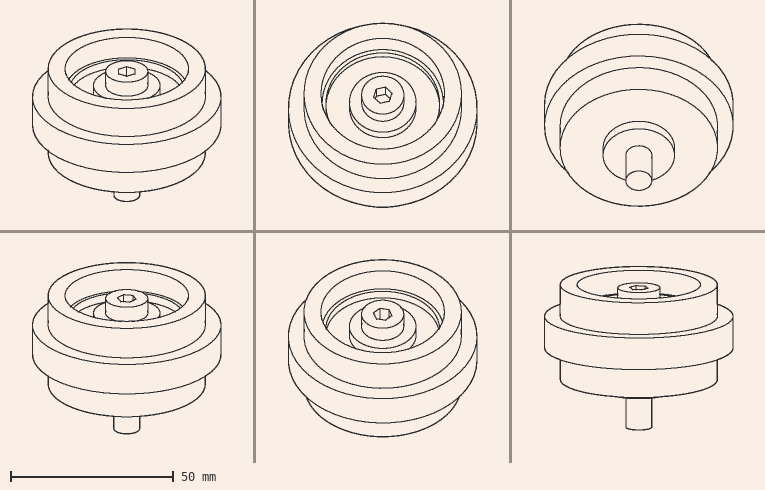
import cadquery as cq
import math

FLANGE_DIAMETER = 58.0
BODY_DIAMETER = 48.4
BAND_HEIGHT = 10.0
BODY_HEIGHT = 3 * BAND_HEIGHT

COLLAR_DIAMETER = 22.0
COLLAR_HEIGHT = 3.5
STEM_DIAMETER = 8.0
STEM_LENGTH = 11.6

RECESS_TOP_DIAMETER = 37.95
RECESS_BOTTOM_DIAMETER = 37.3
RECESS_DEPTH = 7.1
STEP_DIAMETER = 35.0
STEP_DEPTH = 2.65

WASHER_DIAMETER = 20.5
WASHER_HEIGHT = 3.75
HEAD_DIAMETER = 13.0
HEAD_HEIGHT = 5.0
SOCKET_ACROSS_FLATS = 5.0
SOCKET_DEPTH = 5.0

FLOOR_Z = BODY_HEIGHT - RECESS_DEPTH - STEP_DEPTH
HEAD_TOP_Z = FLOOR_Z + WASHER_HEIGHT + HEAD_HEIGHT


def cylinder(diameter, bottom_z, height):
    """Upright cylinder on the Z axis."""
    return cq.Workplane("XY").workplane(offset=bottom_z).circle(diameter / 2).extrude(height)


def stepped_body():
    body = cylinder(BODY_DIAMETER, 0, BODY_HEIGHT)
    flange = cylinder(FLANGE_DIAMETER, BAND_HEIGHT, BAND_HEIGHT)
    collar = cylinder(COLLAR_DIAMETER, -COLLAR_HEIGHT, COLLAR_HEIGHT)
    stem = cylinder(STEM_DIAMETER, -COLLAR_HEIGHT - STEM_LENGTH, STEM_LENGTH)
    return body.union(flange).union(collar).union(stem)


def top_recess():
    """Space cut out of the body, as half a section turned about Z."""
    ledge_z = BODY_HEIGHT - RECESS_DEPTH
    section = (
        cq.Workplane("XZ")
        .moveTo(0, FLOOR_Z)
        .lineTo(STEP_DIAMETER / 2, FLOOR_Z)
        .lineTo(STEP_DIAMETER / 2, ledge_z)
        .lineTo(RECESS_BOTTOM_DIAMETER / 2, ledge_z)
        .lineTo(RECESS_TOP_DIAMETER / 2, BODY_HEIGHT)
        .lineTo(0, BODY_HEIGHT)
        .close()
    )
    return section.revolve(360, (0, 0, 0), (0, 1, 0))


def hex_socket():
    """Hexagonal hole with corners pointing along Y."""
    corner_diameter = SOCKET_ACROSS_FLATS / math.cos(math.pi / 6)
    return (
        cq.Workplane("XY")
        .workplane(offset=HEAD_TOP_Z - SOCKET_DEPTH)
        .transformed(rotate=(0, 0, 90))
        .polygon(6, corner_diameter)
        .extrude(SOCKET_DEPTH)
    )


def washer_and_screw_head():
    washer = cylinder(WASHER_DIAMETER, FLOOR_Z, WASHER_HEIGHT)
    head = cylinder(HEAD_DIAMETER, FLOOR_Z + WASHER_HEIGHT, HEAD_HEIGHT)
    return washer.union(head).cut(hex_socket())


result = stepped_body().cut(top_recess()).union(washer_and_screw_head())